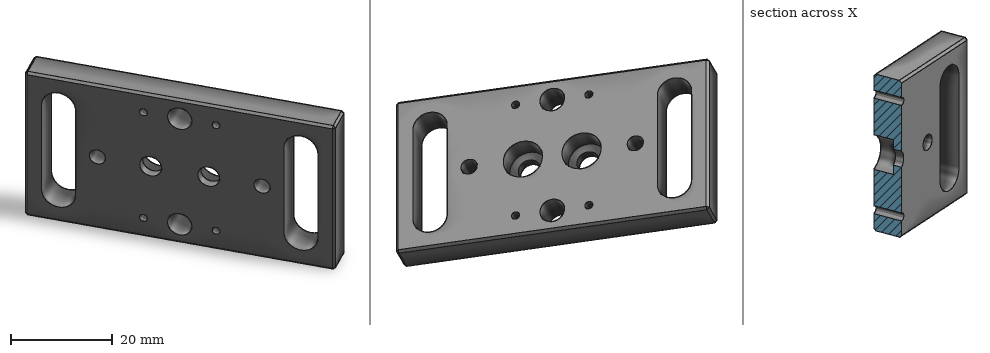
import cadquery as cq

length = 64.0
thickness = 6.5
height = 34.0
edge_chamfer = 0.5

slot_width = 7.0
slot_length = 27.0
slot_offset = 25.0

row_offset = 12.5
large_diameter = 5.0
pin_diameter = 1.6
pin_offset = 7.5

screw_diameter = 4.5
screw_offset = 6.0
counterbore_diameter = 8.0
counterbore_depth = 4.6

outer_diameter = 3.3
outer_offset = 17.0


def mirrored_x(offset):
    """Two (x, z) points on the horizontal centre line."""
    return [(-offset, 0), (offset, 0)]


def back_face():
    """Workplane on the +Y face; extruding runs along -Y, into the plate."""
    return cq.Workplane("XZ", origin=(0, thickness / 2, 0))


def chamfered_plate():
    return cq.Workplane("XY").box(length, thickness, height).edges().chamfer(edge_chamfer)


def end_slots():
    outline = back_face().pushPoints(mirrored_x(slot_offset)).slot2D(slot_length, slot_width, 90)
    return outline.extrude(thickness)


def holes(points, diameter, depth=thickness):
    """Cylinders reaching from the +Y face to the given depth."""
    return back_face().pushPoints(points).circle(diameter / 2).extrude(depth)


large_points = [(0, -row_offset), (0, row_offset)]
pin_points = [(x, z) for x in (-pin_offset, pin_offset) for z in (-row_offset, row_offset)]
screw_points = mirrored_x(screw_offset)

cutters = [
    end_slots(),
    holes(large_points, large_diameter),
    holes(pin_points, pin_diameter),
    holes(mirrored_x(outer_offset), outer_diameter),
    holes(screw_points, screw_diameter),
    holes(screw_points, counterbore_diameter, counterbore_depth),
]

result = chamfered_plate()
for cutter in cutters:
    result = result.cut(cutter)